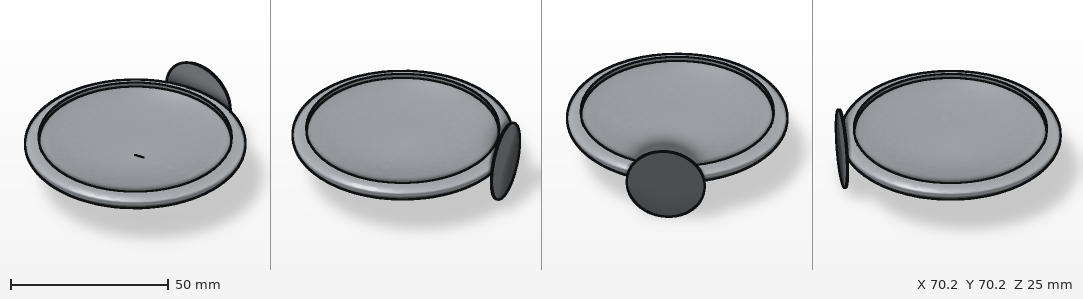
import cadquery as cq

outer_radius = 35.1
top_z = 4.2
bottom_z = -4.3
widest_z = 1.55

underside_points = [(20.0, -3.45), (27.45, -2.4), (32.15, -1.05)]

floor_radius = 61.1 / 2
wall_taper = 0.2
rim_radius = floor_radius + wall_taper
wall_depth = 1.4
floor_edge_z = top_z - wall_depth
bowl_bottom_z = -2.7
bowl_middle_point = (20.0, -0.85)
bowl_edge_direction = (-1, -0.5)

plate_diameter = 25.0
plate_thickness = 0.4
plate_offset_x = -0.2


def make_dish():
    """Revolve the half section, from the bottom centre round to the bowl centre."""
    outer_curve = underside_points + [(outer_radius, widest_z), (rim_radius, top_z)]
    section = (
        cq.Workplane("XZ")
        .moveTo(0, bottom_z)
        .spline(outer_curve, tangents=[(1, 0), (-1, 0)], includeCurrent=True)
        .lineTo(floor_radius, floor_edge_z)
        .spline(
            [bowl_middle_point, (0, bowl_bottom_z)],
            tangents=[bowl_edge_direction, (-1, 0)],
            includeCurrent=True,
        )
        .close()
    )
    return section.revolve(360, (0, 0), (0, 1))


def make_plate():
    """Upright disc whose back face is level with the back of the dish."""
    return (
        cq.Workplane("XZ", origin=(plate_offset_x, outer_radius, 0))
        .circle(plate_diameter / 2)
        .extrude(plate_thickness)
    )


result = make_dish().union(make_plate())